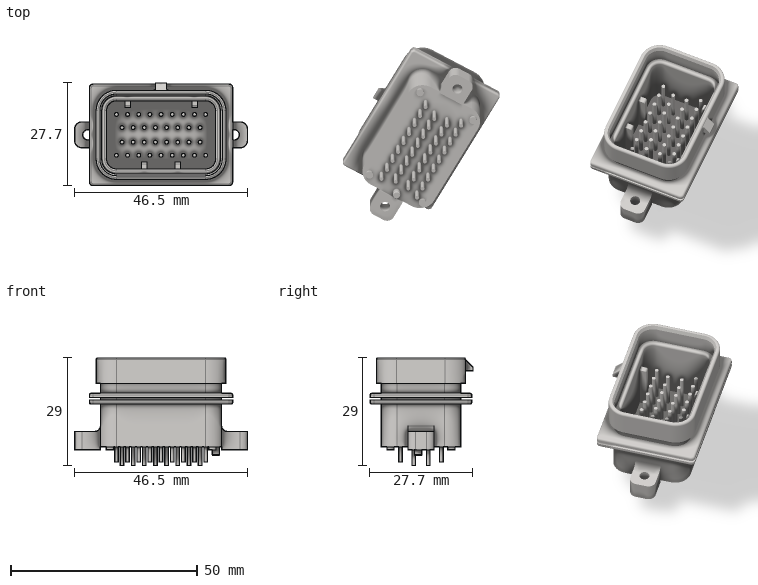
import cadquery as cq
import math

EDGE_FILLET = 0.5
WALL = 1.5
OVERLAP = 0.45

BODY_X, BODY_Y, BODY_CORNER = 32.6, 21.45, 4.32
SHROUD_X, SHROUD_Y = 34.88, 23.95
SHROUD_CORNER = BODY_CORNER + (SHROUD_X - BODY_X) / 2
SHROUD_BOTTOM, SHROUD_TOP = 17.05, 23.95

LEDGE_Z = SHROUD_BOTTOM + WALL
CAVITY_X, CAVITY_Y = 29.3, 18.3
CAVITY_CORNER = SHROUD_CORNER - (SHROUD_X - CAVITY_X) / 2
FLOOR_Z = WALL
MOUTH_CHAMFER_INSET, MOUTH_CHAMFER_HEIGHT = 0.5, 0.9

FLANGE_X, FLANGE_Y, FLANGE_CORNER = 38.55, 27.35, 1.0
FLANGE_THICKNESS = 1.15
LOWER_FLANGE_Z, UPPER_FLANGE_Z = 11.5, 13.25

EAR_SPAN, EAR_WIDTH, EAR_CORNER = 46.5, 7.0, 2.0
EAR_BOTTOM, EAR_TOP = -0.85, 4.2
EAR_ROOT_FILLET = 1.5
EAR_HOLE_DIAMETER, EAR_HOLE_X = 2.7, 19.65

LATCH_WIDTH, LATCH_TIP_Y = 3.0, 14.0
LATCH_BOTTOM, LATCH_TIP_TOP = 20.4, 21.45
LATCH_ROOT_FILLET = 0.4

PIN_DIAMETER, PIN_PITCH, PIN_TOP = 1.0, 3.0, 11.45
OUTER_ROW_Y, OUTER_ROW_COUNT, OUTER_PIN_BOTTOM = 5.5, 9, -4.1
INNER_ROW_Y, INNER_ROW_COUNT, INNER_PIN_BOTTOM = 1.95, 8, -5.05

KEY_WIDTH, KEY_TIP_Y, KEY_TOP = 1.5, 7.35, 14.2
BACK_KEY_X = 3 * PIN_PITCH
FRONT_KEY_X = 1.5 * PIN_PITCH

FOOT_DIAMETER, FOOT_X, FOOT_Y = 2.0, 13.75, 8.2
PEG_DIAMETER, PEG_X, PEG_Y, PEG_BOTTOM = 2.0, 14.75, -0.75, -2.35
PEG_CHAMFER_HEIGHT, PEG_CHAMFER_INSET = 0.3, 0.15


def rounded_block(size_x, size_y, corner, bottom, top):
    block = cq.Workplane("XY").workplane(offset=bottom).rect(size_x, size_y).extrude(top - bottom)
    return block.edges("|Z").fillet(corner)


def cylinder(x, y, diameter, bottom, top):
    return cq.Workplane("XY").workplane(offset=bottom).center(x, y).circle(diameter / 2).extrude(top - bottom)


def housing():
    body = rounded_block(BODY_X, BODY_Y, BODY_CORNER, 0, SHROUD_BOTTOM + OVERLAP)
    shroud = rounded_block(SHROUD_X, SHROUD_Y, SHROUD_CORNER, SHROUD_BOTTOM, SHROUD_TOP)
    shroud = shroud.faces(">Z").edges().fillet(EDGE_FILLET)
    return body.union(shroud)


def flanges():
    lower = rounded_block(FLANGE_X, FLANGE_Y, FLANGE_CORNER, LOWER_FLANGE_Z, LOWER_FLANGE_Z + FLANGE_THICKNESS)
    upper = rounded_block(FLANGE_X, FLANGE_Y, FLANGE_CORNER, UPPER_FLANGE_Z, UPPER_FLANGE_Z + FLANGE_THICKNESS)
    lower = lower.faces("<Z").edges().fillet(EDGE_FILLET)
    upper = upper.faces(">Z").edges().fillet(EDGE_FILLET)
    return lower.union(upper)


def cavity():
    mouth_x = SHROUD_X - 2 * WALL
    mouth_y = SHROUD_Y - 2 * WALL
    mouth = rounded_block(mouth_x, mouth_y, SHROUD_CORNER - WALL, LEDGE_Z, SHROUD_TOP)
    well = rounded_block(CAVITY_X, CAVITY_Y, CAVITY_CORNER, FLOOR_Z, LEDGE_Z)
    flare_angle = math.degrees(math.atan2(MOUTH_CHAMFER_INSET, MOUTH_CHAMFER_HEIGHT))
    flare = (
        cq.Workplane("XY").workplane(offset=SHROUD_TOP - MOUTH_CHAMFER_HEIGHT)
        .placeSketch(cq.Sketch().rect(mouth_x, mouth_y).vertices().fillet(SHROUD_CORNER - WALL))
        .extrude(MOUTH_CHAMFER_HEIGHT, taper=-flare_angle)
    )
    return mouth.union(well).union(flare)


def ear(side):
    root_x = BODY_X / 2
    tip_x = EAR_SPAN / 2
    tongue = (
        cq.Workplane("XY").workplane(offset=EAR_BOTTOM)
        .center(side * (root_x + tip_x) / 2, 0)
        .rect(tip_x - root_x, EAR_WIDTH).extrude(EAR_TOP - EAR_BOTTOM)
        .edges("|Z").edges(">X" if side > 0 else "<X").fillet(EAR_CORNER)
    )
    root = (
        cq.Workplane("XZ").workplane(offset=-EAR_WIDTH / 2)
        .moveTo(side * (root_x - OVERLAP), EAR_TOP + EAR_ROOT_FILLET)
        .lineTo(side * root_x, EAR_TOP + EAR_ROOT_FILLET)
        .radiusArc((side * (root_x + EAR_ROOT_FILLET), EAR_TOP), -side * EAR_ROOT_FILLET)
        .lineTo(side * (root_x + EAR_ROOT_FILLET), EAR_TOP - OVERLAP)
        .lineTo(side * root_x, 0)
        .lineTo(side * (root_x - OVERLAP), 0)
        .close().extrude(EAR_WIDTH)
    )
    hole = cylinder(side * EAR_HOLE_X, 0, EAR_HOLE_DIAMETER, EAR_BOTTOM, EAR_TOP)
    return tongue.union(root).cut(hole)


def latch():
    root_y = SHROUD_Y / 2
    slope_top = LATCH_TIP_TOP + LATCH_TIP_Y - root_y
    half_width = LATCH_WIDTH / 2
    half_root = half_width + LATCH_ROOT_FILLET
    wedge = (
        cq.Workplane("YZ").workplane(offset=-half_root)
        .moveTo(root_y - OVERLAP, LATCH_BOTTOM)
        .lineTo(LATCH_TIP_Y, LATCH_BOTTOM)
        .lineTo(LATCH_TIP_Y, LATCH_TIP_TOP)
        .lineTo(root_y, slope_top)
        .lineTo(root_y - OVERLAP, slope_top)
        .close().extrude(2 * half_root)
    )
    plan = (
        cq.Workplane("XY").workplane(offset=LATCH_BOTTOM)
        .moveTo(half_width, LATCH_TIP_Y)
        .lineTo(half_width, root_y + LATCH_ROOT_FILLET)
        .radiusArc((half_root, root_y), -LATCH_ROOT_FILLET)
        .lineTo(half_root, root_y - OVERLAP)
        .lineTo(-half_root, root_y - OVERLAP)
        .lineTo(-half_root, root_y)
        .radiusArc((-half_width, root_y + LATCH_ROOT_FILLET), -LATCH_ROOT_FILLET)
        .lineTo(-half_width, LATCH_TIP_Y)
        .close().extrude(slope_top - LATCH_BOTTOM)
    )
    return wedge.intersect(plan)


def key(x, side):
    wall_y = CAVITY_Y / 2 + OVERLAP
    return (
        cq.Workplane("YZ").workplane(offset=x - KEY_WIDTH / 2)
        .moveTo(side * wall_y, FLOOR_Z - OVERLAP)
        .lineTo(side * KEY_TIP_Y, FLOOR_Z - OVERLAP)
        .lineTo(side * KEY_TIP_Y, KEY_TOP - EDGE_FILLET)
        .radiusArc((side * (KEY_TIP_Y + EDGE_FILLET), KEY_TOP), side * EDGE_FILLET)
        .lineTo(side * wall_y, KEY_TOP)
        .close().extrude(KEY_WIDTH)
    )


def pin_row(y, count, bottom):
    length = PIN_TOP - bottom
    return (
        cq.Workplane("XY").workplane(offset=bottom).center(0, y)
        .rarray(PIN_PITCH, 0.45, count, 1).circle(PIN_DIAMETER / 2).extrude(length)
    )


def peg():
    post = cylinder(PEG_X, PEG_Y, PEG_DIAMETER, PEG_BOTTOM, OVERLAP)
    return post.faces("<Z").chamfer(PEG_CHAMFER_HEIGHT, PEG_CHAMFER_INSET)


def round_ledge(part):
    ledge_edge = cq.selectors.BoxSelector(
        (-CAVITY_X / 2 - OVERLAP, -CAVITY_Y / 2 - OVERLAP, LEDGE_Z - OVERLAP),
        (CAVITY_X / 2 + OVERLAP, CAVITY_Y / 2 + OVERLAP, LEDGE_Z + OVERLAP),
        boundingbox=True,
    )
    return part.edges(ledge_edge).fillet(EDGE_FILLET)


result = round_ledge(housing().union(flanges()).cut(cavity()))
result = result.union(latch())
for side in (-1, 1):
    result = result.union(ear(side))
    result = result.union(key(side * BACK_KEY_X, 1)).union(key(side * FRONT_KEY_X, -1))
    result = result.union(pin_row(side * OUTER_ROW_Y, OUTER_ROW_COUNT, OUTER_PIN_BOTTOM))
    result = result.union(pin_row(side * INNER_ROW_Y, INNER_ROW_COUNT, INNER_PIN_BOTTOM))
    for foot_x in (-FOOT_X, FOOT_X):
        result = result.union(cylinder(foot_x, side * FOOT_Y, FOOT_DIAMETER, EAR_BOTTOM, OVERLAP))
result = result.union(peg())